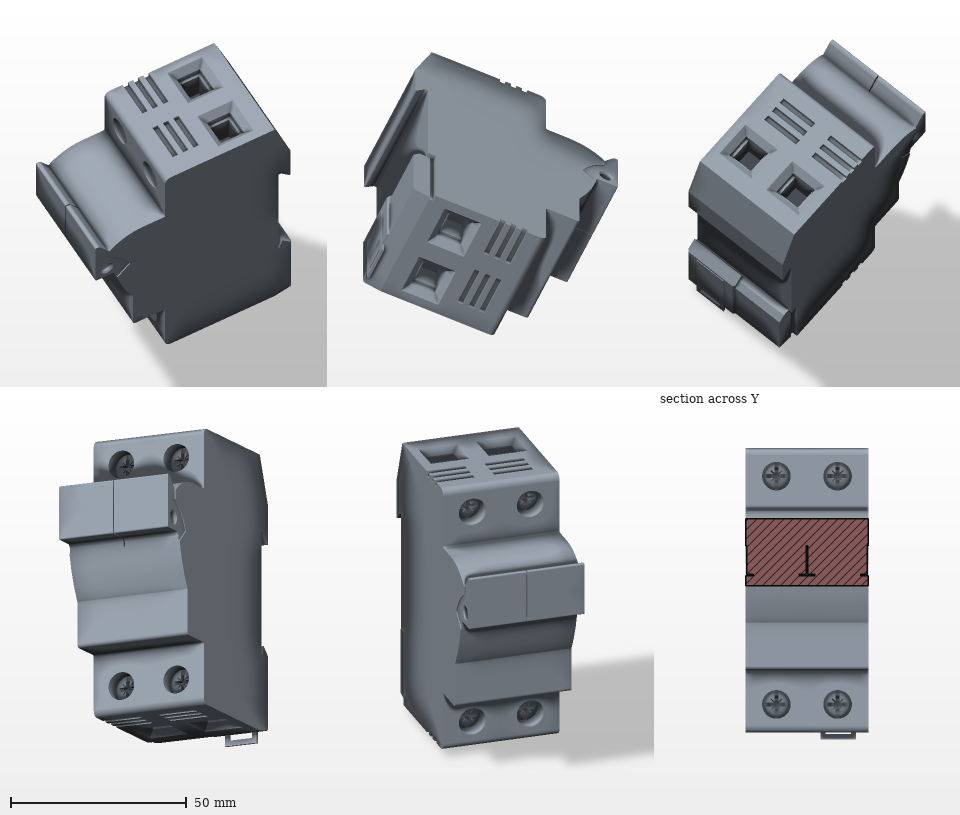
import cadquery as cq
import math


WIDTH = 35.0
HALF_WIDTH = WIDTH / 2
HEIGHT = 80.8
MID_Z = HEIGHT / 2
POLE_X = 8.7
BACK_Y = 4.0
BACK_SLOPE_TOP_Y = -1.2
BACK_SLOPE_BOTTOM_Z = 67.2
SEAT_TOP_Z = 58.1
SEAT_BOTTOM_Z = 22.6
SEAT_CORNER_CHAMFER = 1.9
HOOK_ROOT_Y = 0.9
HOOK_TIP_Y = 3.6
HOOK_TIP_Z = 55.5
REAR_BOTTOM_Z = 1.25
SHOULDER_Y = -37.0
SHOULDER_TOP_Z = 62.9
SHOULDER_BOTTOM_Z = 17.9
NOSE_TOP_Z = 31.25
BELLY_CENTER = (-9.9, 53.3)
BELLY_RADIUS = 43.6
CURVE_START_Y = -44.1
CORNER_RADIUS = 2.0
NOSE_RADIUS = 1.0
INNER_RADIUS = 0.6

HANDLE_FRONT_Y = -59.6
HANDLE_TOP_Z = 62.4
HANDLE_RIDGE_Y = -58.35
HANDLE_BOTTOM_Z = 46.75
HANDLE_HEEL_Z = 45.5
HANDLE_SIDE_GAP = 0.25
HANDLE_MIDDLE_GAP = 0.4
HANDLE_THROAT_Y = -53.7
HANDLE_THROAT_MIDDLE = (-53.05, 46.3)
HANDLE_FRONT_ROUND = 0.4
HANDLE_RIDGE_ROUND = 1.2
CROWN_END = (-55.2, 58.35)
POCKET_TOP = (-55.2, 55.8)
POCKET_MIDDLE = (-51.1, 52.2)
POCKET_CORNER = (-48.5, 47.9)
POCKET_FOOT_Z = 44.0
FOOT_GAP = 0.25
FOOT_GAP_WIDTH = 1.9
SEAL_HOLE = (-55.9, 50.4)
SEAL_HOLE_RADIUS = 1.65
SEAL_HOLE_CHAMFER = 0.5

SCREW_HOLE_RADIUS = 4.1
SCREW_HOLE_DEPTH = 5.0
SCREW_FROM_END = 7.95
SCREW_DOME_RISE = 1.0
SCREW_SLOT_WIDTH = 1.2
SCREW_SLOT_DEPTH = 0.25
CROSS_HALF_LENGTH = 3.5
CROSS_WIDTH = 1.2
CROSS_DEPTH = 1.3
STAR_HALF_LENGTH = 2.4
STAR_WIDTH = 0.3
TIP_HALF_LENGTH = 1.1
TIP_DEPTH = 0.7

ENTRY_LENGTH_X = 12.1
ENTRY_LENGTH_Y = 11.5
ENTRY_Y = -12.3
FUNNEL_INSET = 2.0
FUNNEL_DEPTH = 2.1
THROAT_DEPTH = 2.0
CLAMP_INSET = 0.8
CLAMP_DEPTH = 8.3

VENT_COUNT = 3
VENT_WIDTH = 1.7
VENT_PITCH = 3.4
VENT_FIRST_Y = -23.45
VENT_DEPTH = 1.5
VENT_SPANS = ((-HALF_WIDTH, -6.0), (-0.2, 11.6))

RECESS_START_Y = -2.3
RECESS_DEPTH = 1.2
GROOVE_END_Y = -1.2
GROOVE_DEPTH = 1.7
CLIP_Y = 4.6
CLIP_CHAMFER = 0.6
CLIP_NOSE_ROOT_Y = 0.3
CLIP_NOSE_TIP = (1.3, 25.3)
CLIP_TOP_Z = 22.4
TAB_Y = 4.7
TAB_TOP_Z = 21.2
TAB_LENGTH_BELOW = 2.1
TAB_WIDTH = 10.1
TAB_X = 8.9
TAB_WINDOW_WIDTH = 7.2
TAB_WINDOW_TOP_Z = 6.6
TAB_WINDOW_BOTTOM_Z = -0.5


def box(x_range, y_range, z_range):
    """Axis-aligned block given by its limits."""
    (x0, x1), (y0, y1), (z0, z1) = x_range, y_range, z_range
    return cq.Workplane("XY").box(x1 - x0, y1 - y0, z1 - z0, centered=False).translate((x0, y0, z0))


def extrude_along_x(profile, x0, x1):
    """Extrude a closed (Y, Z) profile from x0 to x1."""
    return profile.extrude(x1 - x0).translate((x0, 0, 0))


def mirrored_to_bottom(tool):
    """A tool together with its mirror image about the middle height."""
    return tool.union(tool.mirror("XY", (0, 0, MID_Z)))


def fillet_edges_along_x(solid, middle_x, corners):
    """Round the X-parallel edge at each (Y, Z, radius) corner; middle_x is the edges' midpoint."""
    for y, z, radius in corners:
        corner = cq.selectors.NearestToPointSelector((middle_x, y, z))
        solid = solid.edges("|X").edges(corner).fillet(radius)
    return solid


def belly_point(z):
    """(Y, Z) point on the belly arc at height z."""
    center_y, center_z = BELLY_CENTER
    return (center_y - math.sqrt(BELLY_RADIUS**2 - (z - center_z) ** 2), z)


def handle_profile():
    return (
        cq.Workplane("YZ")
        .moveTo(*CROWN_END)
        .lineTo(HANDLE_RIDGE_Y, HANDLE_TOP_Z)
        .lineTo(HANDLE_FRONT_Y, HANDLE_TOP_Z)
        .lineTo(HANDLE_FRONT_Y, HANDLE_BOTTOM_Z)
        .lineTo(HANDLE_THROAT_Y, HANDLE_BOTTOM_Z)
        .threePointArc(HANDLE_THROAT_MIDDLE, belly_point(HANDLE_HEEL_Z))
        .threePointArc(belly_point((HANDLE_HEEL_Z + POCKET_FOOT_Z) / 2), belly_point(POCKET_FOOT_Z))
        .lineTo(*POCKET_CORNER)
        .threePointArc(POCKET_MIDDLE, POCKET_TOP)
        .close()
    )


def make_housing():
    nose_top = belly_point(NOSE_TOP_Z)
    crown_drop = SHOULDER_TOP_Z - CROWN_END[1]
    crown_reach = CURVE_START_Y - CROWN_END[0]
    crown_radius = (crown_drop**2 + crown_reach**2) / (2 * crown_drop)
    half_y = crown_reach / 2
    crown_middle = (
        CURVE_START_Y - half_y,
        SHOULDER_TOP_Z - crown_radius + math.sqrt(crown_radius**2 - half_y**2),
    )
    profile = (
        cq.Workplane("YZ")
        .moveTo(BACK_SLOPE_TOP_Y, HEIGHT)
        .lineTo(SHOULDER_Y, HEIGHT)
        .lineTo(SHOULDER_Y, SHOULDER_TOP_Z)
        .lineTo(CURVE_START_Y, SHOULDER_TOP_Z)
        .threePointArc(crown_middle, CROWN_END)
        .lineTo(*POCKET_TOP)
        .threePointArc(POCKET_MIDDLE, POCKET_CORNER)
        .lineTo(*belly_point(POCKET_FOOT_Z))
        .threePointArc(belly_point((POCKET_FOOT_Z + NOSE_TOP_Z) / 2), nose_top)
        .lineTo(nose_top[0], SHOULDER_BOTTOM_Z)
        .lineTo(SHOULDER_Y, SHOULDER_BOTTOM_Z)
        .lineTo(SHOULDER_Y, 0)
        .lineTo(GROOVE_END_Y, 0)
        .lineTo(BACK_Y, REAR_BOTTOM_Z)
        .lineTo(BACK_Y, SEAT_BOTTOM_Z - SEAT_CORNER_CHAMFER)
        .lineTo(BACK_Y - SEAT_CORNER_CHAMFER, SEAT_BOTTOM_Z)
        .lineTo(0, SEAT_BOTTOM_Z)
        .lineTo(0, SEAT_TOP_Z)
        .lineTo(HOOK_ROOT_Y, SEAT_TOP_Z)
        .lineTo(HOOK_TIP_Y, HOOK_TIP_Z)
        .lineTo(BACK_Y, HOOK_TIP_Z)
        .lineTo(BACK_Y, BACK_SLOPE_BOTTOM_Z)
        .close()
    )
    housing = extrude_along_x(profile, -HALF_WIDTH, HALF_WIDTH)
    return fillet_edges_along_x(housing, 0, (
        (SHOULDER_Y, HEIGHT, CORNER_RADIUS),
        (SHOULDER_Y, 0, CORNER_RADIUS),
        (SHOULDER_Y, SHOULDER_TOP_Z, INNER_RADIUS),
        (SHOULDER_Y, SHOULDER_BOTTOM_Z, INNER_RADIUS),
        (nose_top[0], SHOULDER_BOTTOM_Z, NOSE_RADIUS),
    ))


def make_side_recess():
    """Thinner wall at the lower rear of the left side, with a deeper groove along its front."""
    left = -HALF_WIDTH
    recess = box((left, left + RECESS_DEPTH), (RECESS_START_Y, BACK_Y), (0, SEAT_BOTTOM_Z))
    groove = box((left, left + GROOVE_DEPTH), (RECESS_START_Y, GROOVE_END_Y), (0, SEAT_BOTTOM_Z))
    return recess.union(groove)


def make_handle(x0, x1):
    handle = extrude_along_x(handle_profile(), x0, x1)
    handle = fillet_edges_along_x(handle, (x0 + x1) / 2, (
        (HANDLE_RIDGE_Y, HANDLE_TOP_Z, HANDLE_RIDGE_ROUND),
        (HANDLE_FRONT_Y, HANDLE_TOP_Z, HANDLE_FRONT_ROUND),
        (HANDLE_FRONT_Y, HANDLE_BOTTOM_Z, HANDLE_FRONT_ROUND),
    ))

    foot_y = belly_point(POCKET_FOOT_Z)[0]
    gap_profile = (
        cq.Workplane("YZ")
        .polyline([
            (foot_y, POCKET_FOOT_Z),
            POCKET_CORNER,
            (POCKET_CORNER[0], POCKET_CORNER[1] + FOOT_GAP),
            (foot_y, POCKET_FOOT_Z + FOOT_GAP),
        ])
        .close()
    )
    foot_gap = extrude_along_x(gap_profile, 0, FOOT_GAP_WIDTH)
    for start in (x0, x1 - FOOT_GAP_WIDTH):
        handle = handle.cut(foot_gap.translate((start, 0, 0)))
    return handle


def make_seal_hole():
    """Cross hole through both handles, countersunk at both outer sides."""
    outer_x = HALF_WIDTH - HANDLE_SIDE_GAP
    rim_radius = SEAL_HOLE_RADIUS + SEAL_HOLE_CHAMFER
    hole = (
        cq.Workplane("XY")
        .polyline([
            (-outer_x, 0),
            (-outer_x, rim_radius),
            (-outer_x + SEAL_HOLE_CHAMFER, SEAL_HOLE_RADIUS),
            (outer_x - SEAL_HOLE_CHAMFER, SEAL_HOLE_RADIUS),
            (outer_x, rim_radius),
            (outer_x, 0),
        ])
        .close()
        .revolve(360, (0, 0), (1, 0))
    )
    return hole.translate((0, *SEAL_HOLE))


def make_screw_hole():
    """Round hole centred on the Z axis, opening at Z = 0, less the domed screw head at its bottom."""
    dome_top = -SCREW_HOLE_DEPTH + SCREW_DOME_RISE
    dome_radius = (SCREW_HOLE_RADIUS**2 + SCREW_DOME_RISE**2) / (2 * SCREW_DOME_RISE)
    hole = cq.Workplane("XY").circle(SCREW_HOLE_RADIUS).extrude(-SCREW_HOLE_DEPTH)
    hole = hole.cut(cq.Workplane("XY").sphere(dome_radius).translate((0, 0, dome_top - dome_radius)))

    driver_slot = (
        cq.Workplane("XY")
        .rect(SCREW_SLOT_WIDTH, 2 * SCREW_HOLE_RADIUS)
        .extrude(SCREW_DOME_RISE + SCREW_SLOT_DEPTH)
        .translate((0, 0, -SCREW_HOLE_DEPTH - SCREW_SLOT_DEPTH))
        .intersect(cq.Workplane("XY").circle(SCREW_HOLE_RADIUS).extrude(-2 * SCREW_HOLE_DEPTH))
    )
    hole = hole.union(driver_slot)
    floor_z = -SCREW_HOLE_DEPTH - CROSS_DEPTH
    arms = (
        (0, CROSS_HALF_LENGTH, CROSS_WIDTH),
        (90, CROSS_HALF_LENGTH, CROSS_WIDTH),
        (45, STAR_HALF_LENGTH, STAR_WIDTH),
        (135, STAR_HALF_LENGTH, STAR_WIDTH),
    )
    for angle, half_length, width in arms:
        arm = (
            cq.Workplane("XZ")
            .polyline([
                (-half_length, dome_top),
                (half_length, dome_top),
                (half_length / 2, floor_z),
                (TIP_HALF_LENGTH, floor_z),
                (0, floor_z - TIP_DEPTH),
                (-TIP_HALF_LENGTH, floor_z),
                (-half_length / 2, floor_z),
            ])
            .close()
            .extrude(width / 2, both=True)
            .rotate((0, 0, 0), (0, 0, 1), angle)
        )
        hole = hole.union(arm)
    return hole


def make_cable_entry():
    """Square funnel at the top face, a straight throat and a narrower clamp opening."""
    throat_x = ENTRY_LENGTH_X - 2 * FUNNEL_INSET
    throat_y = ENTRY_LENGTH_Y - 2 * FUNNEL_INSET
    throat_z = HEIGHT - FUNNEL_DEPTH
    clamp_z = throat_z - THROAT_DEPTH
    funnel = (
        cq.Workplane("XY", origin=(0, 0, HEIGHT))
        .rect(ENTRY_LENGTH_X, ENTRY_LENGTH_Y)
        .workplane(offset=-FUNNEL_DEPTH)
        .rect(throat_x, throat_y)
        .loft(ruled=True)
    )
    throat = cq.Workplane("XY", origin=(0, 0, throat_z)).rect(throat_x, throat_y).extrude(-THROAT_DEPTH)
    clamp = (
        cq.Workplane("XY", origin=(0, -CLAMP_INSET / 2, clamp_z))
        .rect(throat_x - 2 * CLAMP_INSET, throat_y - CLAMP_INSET)
        .extrude(-CLAMP_DEPTH)
    )
    return funnel.union(throat).union(clamp).translate((0, ENTRY_Y, 0))


def make_rail_clip():
    """Clip on the right pole with a rising nose, and a release tab hanging below it."""
    profile = (
        cq.Workplane("YZ")
        .polyline([
            (CLIP_NOSE_ROOT_Y, REAR_BOTTOM_Z),
            (CLIP_NOSE_ROOT_Y, SEAT_BOTTOM_Z),
            CLIP_NOSE_TIP,
            (CLIP_Y, CLIP_TOP_Z),
            (CLIP_Y, REAR_BOTTOM_Z),
        ])
        .close()
    )
    clip = extrude_along_x(profile, 0, HALF_WIDTH)
    clip = clip.faces(">Y").edges("|Z").chamfer(CLIP_CHAMFER)

    half_tab = TAB_WIDTH / 2
    half_window = TAB_WINDOW_WIDTH / 2
    tab = box((TAB_X - half_tab, TAB_X + half_tab), (BACK_Y, TAB_Y), (-TAB_LENGTH_BELOW, TAB_TOP_Z))
    window = box(
        (TAB_X - half_window, TAB_X + half_window),
        (BACK_Y, TAB_Y),
        (TAB_WINDOW_BOTTOM_Z, TAB_WINDOW_TOP_Z),
    )
    return clip.union(tab.cut(window))


result = make_housing().cut(make_side_recess())
result = result.union(make_handle(-HALF_WIDTH + HANDLE_SIDE_GAP, -HANDLE_MIDDLE_GAP / 2))
result = result.union(make_handle(HANDLE_MIDDLE_GAP / 2, HALF_WIDTH - HANDLE_SIDE_GAP))
result = result.cut(make_seal_hole())

screw_hole = make_screw_hole().rotate((0, 0, 0), (1, 0, 0), 90)
cable_entry = make_cable_entry()
for pole_x in (-POLE_X, POLE_X):
    for screw_z in (SCREW_FROM_END, HEIGHT - SCREW_FROM_END):
        result = result.cut(screw_hole.translate((pole_x, SHOULDER_Y, screw_z)))
    result = result.cut(mirrored_to_bottom(cable_entry.translate((pole_x, 0, 0))))

for index in range(VENT_COUNT):
    vent_y = VENT_FIRST_Y - index * VENT_PITCH
    for span in VENT_SPANS:
        vent = box(span, (vent_y - VENT_WIDTH / 2, vent_y + VENT_WIDTH / 2), (HEIGHT - VENT_DEPTH, HEIGHT))
        result = result.cut(mirrored_to_bottom(vent))

result = result.union(make_rail_clip())